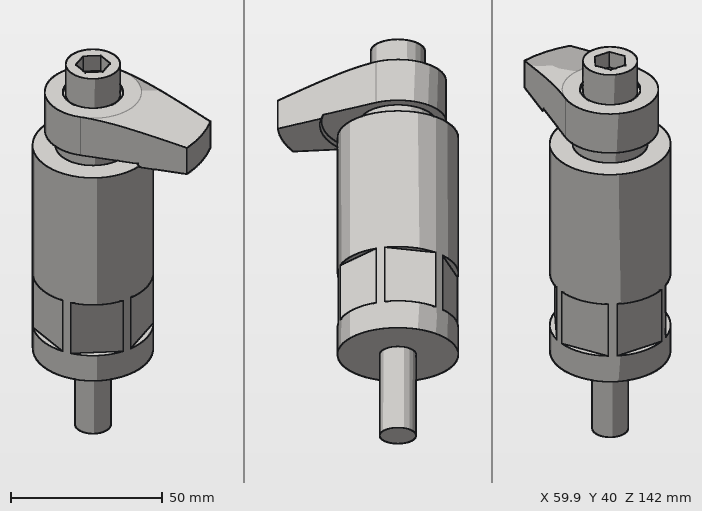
import cadquery as cq
import math

overall_height = 142.0
shank_exposed = 30.0
collar_height = 10.0
hex_height = 20.0
barrel_height = 50.1
neck_height = 6.0
hub_height = 15.0

hex_bottom = shank_exposed + collar_height
barrel_bottom = hex_bottom + hex_height
barrel_top = barrel_bottom + barrel_height
hub_bottom = barrel_top + neck_height
hub_top = hub_bottom + hub_height

sleeve_diameter = 40.0
hex_across_flats = 36.0
hex_sides = 6

shank_diameter = 12.0
head_diameter = 18.0
head_height = 12.0
socket_across_flats = 10.0
socket_depth = 6.0
head_bottom = overall_height - head_height

hub_diameter = 32.0
hub_radius = hub_diameter / 2
neck_diameter = 25.0
head_recess_diameter = 20.0
tip_radius = 39.9
tip_half_width = 9.0
tip_top_drop = 6.0
pad_start_radius = 25.3
pad_ramp_run = 0.5
pad_depth = 1.3


def cylinder(diameter, bottom, top):
    return cq.Workplane("XY").workplane(offset=bottom).circle(diameter / 2).extrude(top - bottom)


def hexagon(across_flats, bottom, top):
    corner_diameter = across_flats / math.cos(math.pi / hex_sides)
    plane = cq.Workplane("XY").workplane(offset=bottom)
    return plane.polygon(hex_sides, corner_diameter).extrude(top - bottom)


def make_sleeve():
    """Round sleeve with wrench flats, two of them square to X, and a bore for the screw."""
    sleeve = cylinder(sleeve_diameter, shank_exposed, barrel_top)
    flats_band = cylinder(sleeve_diameter, hex_bottom, barrel_bottom)
    flats = hexagon(hex_across_flats, hex_bottom, barrel_bottom)
    flats = flats.rotate((0, 0, 0), (0, 0, 1), 180 / hex_sides)
    bore = cylinder(shank_diameter, shank_exposed, barrel_top)
    return sleeve.cut(flats_band.cut(flats)).cut(bore)


def make_arm():
    """Arm with sides tangent to the hub, a conical top and a shallow pad below its tip."""
    tip_x = math.sqrt(tip_radius**2 - tip_half_width**2)
    tangent_angle = math.asin(tip_half_width / tip_radius) + math.acos(hub_radius / tip_radius)
    tangent_x = hub_radius * math.cos(tangent_angle)
    tangent_y = hub_radius * math.sin(tangent_angle)
    outline = (
        cq.Workplane("XY")
        .workplane(offset=hub_bottom - pad_depth)
        .moveTo(tangent_x, -tangent_y)
        .lineTo(tip_x, -tip_half_width)
        .threePointArc((tip_radius, 0), (tip_x, tip_half_width))
        .lineTo(tangent_x, tangent_y)
        .close()
        .extrude(hub_height + pad_depth)
    )
    section = (
        cq.Workplane("XZ")
        .moveTo(0, hub_bottom)
        .lineTo(pad_start_radius, hub_bottom)
        .lineTo(pad_start_radius + pad_ramp_run, hub_bottom - pad_depth)
        .lineTo(tip_radius, hub_bottom - pad_depth)
        .lineTo(tip_radius, hub_top - tip_top_drop)
        .lineTo(hub_radius, hub_top)
        .lineTo(0, hub_top)
        .close()
        .revolve(360, (0, 0), (0, 1))
    )
    return outline.intersect(section)


def make_lever():
    """Clamping lever: hub, neck resting on the sleeve, and arm, bored for the screw."""
    hub = cylinder(hub_diameter, hub_bottom, hub_top)
    neck = cylinder(neck_diameter, barrel_top, hub_bottom)
    bore = cylinder(shank_diameter, barrel_top, hub_top)
    head_recess = cylinder(head_recess_diameter, head_bottom, hub_top)
    return hub.union(neck).union(make_arm()).cut(bore).cut(head_recess)


def make_screw():
    """Socket head screw running through the lever and the sleeve."""
    shank = cylinder(shank_diameter, 0, head_bottom)
    head = cylinder(head_diameter, head_bottom, overall_height)
    socket = hexagon(socket_across_flats, overall_height - socket_depth, overall_height)
    socket = socket.rotate((0, 0, 0), (0, 0, 1), 180 / hex_sides)
    return shank.union(head).cut(socket)


sleeve = make_sleeve()
lever = make_lever()
screw = make_screw()

result = cq.Compound.makeCompound([sleeve.val(), lever.val(), screw.val()])